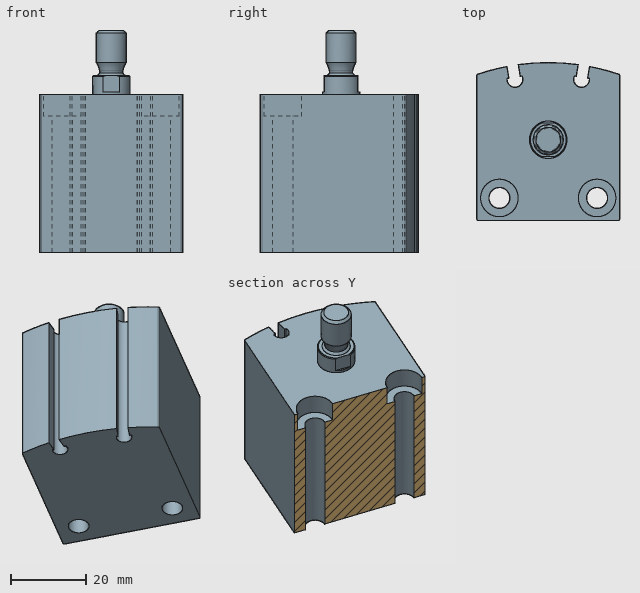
import cadquery as cq
import math

WIDTH = 38.0
DEPTH = 42.0
BLOCK_HEIGHT = 42.0
BACK_RADIUS = 58.0
EDGE_RADIUS = 0.5

SCREW_DIAMETER = 5.5
COUNTERBORE_DIAMETER = 10.0
COUNTERBORE_DEPTH = 5.7
SCREW_HALF_SPACING = 13.0
SCREW_EDGE_DISTANCE = 6.0

GROOVE_DIAMETER = 4.15
GROOVE_NECK_WIDTH = 3.0
GROOVE_SHOULDER = 0.6
GROOVE_INSET = 3.8
GROOVE_ANGLE = 9.4

TOTAL_HEIGHT = 59.0
ROD_FROM_FRONT = 21.5
COLLAR_DIAMETER = 10.0
COLLAR_HEIGHT = 5.0
COLLAR_CHAMFER = 0.25
FLAT_DISTANCE = 8.95
FLAT_BASE = 0.7
NECK_DIAMETER = 6.2
NECK_LENGTH = 0.55
NECK_FLARE = 0.65
TAPER_SAG = 0.1
THREAD_DIAMETER = 8.0
THREAD_LENGTH = 8.45
TIP_CHAMFER = 0.7

BACK_CENTRE_Y = DEPTH - BACK_RADIUS


def make_groove(side):
    """Cutter for one keyhole groove; side is -1 or +1 along X."""
    half_chord = math.sqrt((GROOVE_DIAMETER / 2) ** 2 - GROOVE_SHOULDER**2)
    half_neck = GROOVE_NECK_WIDTH / 2
    outer = 2 * GROOVE_INSET
    profile = (
        cq.Workplane("XY")
        .moveTo(-half_chord, GROOVE_SHOULDER)
        .threePointArc((0, -GROOVE_DIAMETER / 2), (half_chord, GROOVE_SHOULDER))
        .lineTo(half_neck, GROOVE_SHOULDER)
        .lineTo(half_neck, outer)
        .lineTo(-half_neck, outer)
        .lineTo(-half_neck, GROOVE_SHOULDER)
        .close()
    )
    return (
        profile.extrude(BLOCK_HEIGHT)
        .translate((0, BACK_RADIUS - GROOVE_INSET, 0))
        .rotate((0, 0, 0), (0, 0, 1), -side * GROOVE_ANGLE)
        .translate((0, BACK_CENTRE_Y, 0))
    )


def make_block():
    """Rectangular block with a curved back, two grooves and two screw holes."""
    half_width = WIDTH / 2
    corner_y = BACK_CENTRE_Y + math.sqrt(BACK_RADIUS**2 - half_width**2)
    block = (
        cq.Workplane("XY")
        .moveTo(-half_width, 0)
        .lineTo(half_width, 0)
        .lineTo(half_width, corner_y)
        .threePointArc((0, DEPTH), (-half_width, corner_y))
        .close()
        .extrude(BLOCK_HEIGHT)
    )
    block = block.edges("|Z").fillet(EDGE_RADIUS)
    for side in (-1, 1):
        block = block.cut(make_groove(side))
    return (
        block.faces(">Z")
        .workplane(origin=(0, 0, BLOCK_HEIGHT))
        .pushPoints([(side * SCREW_HALF_SPACING, SCREW_EDGE_DISTANCE) for side in (-1, 1)])
        .cboreHole(SCREW_DIAMETER, COUNTERBORE_DIAMETER, COUNTERBORE_DEPTH)
    )


def make_rod():
    """Turned rod end: flatted collar, necked relief and threaded stud."""
    length = TOTAL_HEIGHT - BLOCK_HEIGHT
    collar_radius = COLLAR_DIAMETER / 2
    neck_radius = NECK_DIAMETER / 2
    thread_radius = THREAD_DIAMETER / 2
    neck_base = COLLAR_HEIGHT + NECK_FLARE
    rod = (
        cq.Workplane("XZ")
        .lineTo(collar_radius, 0)
        .lineTo(collar_radius, COLLAR_HEIGHT - COLLAR_CHAMFER)
        .lineTo(collar_radius - COLLAR_CHAMFER, COLLAR_HEIGHT)
        .lineTo(neck_radius + NECK_FLARE, COLLAR_HEIGHT)
        .lineTo(neck_radius, neck_base)
        .lineTo(neck_radius, neck_base + NECK_LENGTH)
        .sagittaArc((thread_radius, length - THREAD_LENGTH), TAPER_SAG)
        .lineTo(thread_radius, length - TIP_CHAMFER)
        .lineTo(thread_radius - TIP_CHAMFER, length)
        .lineTo(0, length)
        .close()
        .revolve(360, (0, 0, 0), (0, 1, 0))
    )
    flat_height = COLLAR_HEIGHT - FLAT_BASE
    for side in (-1, 1):
        flat_cutter = cq.Workplane("XY").box(
            COLLAR_DIAMETER, COLLAR_DIAMETER, flat_height, centered=(True, True, False)
        )
        offset_y = side * (FLAT_DISTANCE + COLLAR_DIAMETER) / 2
        rod = rod.cut(flat_cutter.translate((0, offset_y, FLAT_BASE)))
    return rod.translate((0, ROD_FROM_FRONT, BLOCK_HEIGHT))


block = make_block()
rod = make_rod()
result = cq.Compound.makeCompound([block.val(), rod.val()])